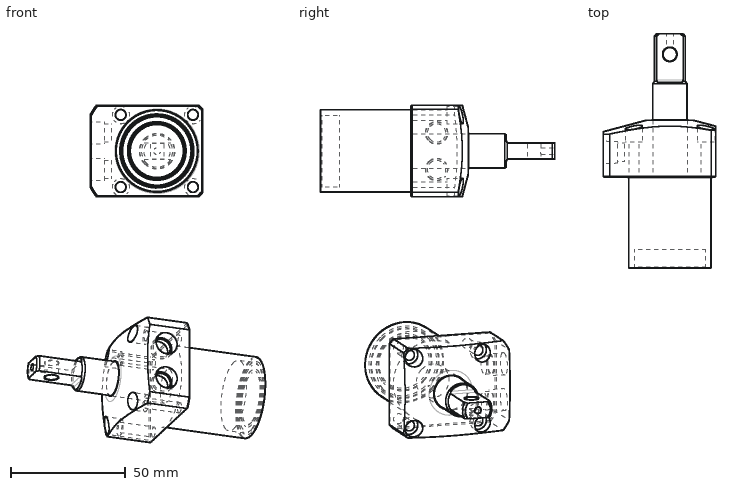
import cadquery as cq
import math


TOTAL_LENGTH = 102.0
FLANGE_REAR = 39.5
FLANGE_FRONT = 64.5
ROD_SHOULDER_START = 80.2
ROD_SHOULDER_END = 81.3

FLANGE_HALF_WIDTH = 20.0
FLANGE_LEFT_REACH = 29.0
LEFT_CORNER_RADIUS = 32.9
RIGHT_CORNER_RADIUS = 26.9
FLANGE_EDGE_CHAMFER = 0.5
CROWN_RADIUS = 10.0
CROWN_ANGLE = 14.9
COLLAR_RADIUS = 7.8
COLLAR_HEIGHT = 0.1
COLLAR_FRONT = FLANGE_FRONT + COLLAR_HEIGHT

BARREL_RADIUS = 18.0
BARREL_EDGE_CHAMFER = 0.3
BARREL_ROOT_FILLET = 0.4

MOUNT_HOLE_DIAMETER = 4.5
MOUNT_HOLE_OFFSET = 15.7
COUNTERBORE_DIAMETER = 7.5
COUNTERBORE_FLOOR = 55.1

PORT_MOUTH_DIAMETER = 9.8
PORT_FLOOR_DIAMETER = 9.4
PORT_THREAD_DEPTH = 6.0
PORT_DRILL_DIAMETER = 8.0
PORT_DRILL_DEPTH = 9.2
PORT_OFFSET = 8.0
PORT_POSITION = 50.5

CAP_RADIUS = 15.5
CAP_THICKNESS = 8.2
V_GROOVE_DEPTH = 0.6
FACE_GROOVE_RADIUS = 12.1

ROD_DIAMETER = 15.0
ROD_RADIUS = ROD_DIAMETER / 2
ROD_BOTTOM = FLANGE_REAR
TIP_RADIUS = 6.7
TIP_CHAMFER = 1.0
TANG_THICKNESS = 7.0
TANG_START = 81.0
TANG_FILLET = 1.0
CROSS_HOLE_DIAMETER = 5.9
CROSS_HOLE_CHAMFER = 0.2
CROSS_HOLE_FROM_TIP = 9.0
END_HOLE_DIAMETER = 3.0


def turned(points):
    """Revolve a closed (radius, y) outline around the cylinder axis."""
    return cq.Workplane("XY").polyline(points).close().revolve(360, (0, 0, 0), (0, 1, 0))


def cylinder_along_axis(radius, start, end, x=0, z=0):
    plane = cq.Workplane("XZ", origin=(x, start, z))
    return plane.circle(radius).extrude(start - end)


def v_groove(radius):
    """Ring with a V section, cut into the rear end at Y = 0."""
    return turned([
        (radius - V_GROOVE_DEPTH, 0),
        (radius, V_GROOVE_DEPTH),
        (radius + V_GROOVE_DEPTH, 0),
    ])


def make_flange():
    left = -FLANGE_LEFT_REACH
    right = FLANGE_HALF_WIDTH
    top = FLANGE_HALF_WIDTH

    left_arc_x = -math.sqrt(LEFT_CORNER_RADIUS**2 - top**2)
    left_arc_z = math.sqrt(LEFT_CORNER_RADIUS**2 - left**2)
    right_arc_x = math.sqrt(RIGHT_CORNER_RADIUS**2 - top**2)
    right_arc_z = math.sqrt(RIGHT_CORNER_RADIUS**2 - right**2)

    def arc_middle(radius, x, z):
        """Point of an axis-centred arc in the direction of (x, z)."""
        reach = math.hypot(x, z)
        return (radius * x / reach, radius * z / reach)

    left_middle = arc_middle(LEFT_CORNER_RADIUS, left + left_arc_x, top + left_arc_z)
    right_middle = arc_middle(RIGHT_CORNER_RADIUS, right + right_arc_x, top + right_arc_z)

    block = (
        cq.Workplane("XZ", origin=(0, FLANGE_REAR, 0))
        .moveTo(left_arc_x, top)
        .lineTo(right_arc_x, top)
        .threePointArc(right_middle, (right, right_arc_z))
        .lineTo(right, -right_arc_z)
        .threePointArc((right_middle[0], -right_middle[1]), (right_arc_x, -top))
        .lineTo(left_arc_x, -top)
        .threePointArc((left_middle[0], -left_middle[1]), (left, -left_arc_z))
        .lineTo(left, left_arc_z)
        .threePointArc(left_middle, (left_arc_x, top))
        .close()
        .extrude(FLANGE_REAR - FLANGE_FRONT)
        .faces("<Y")
        .chamfer(FLANGE_EDGE_CHAMFER)
    )

    envelope_radius = FLANGE_LEFT_REACH + FLANGE_HALF_WIDTH
    cone_drop = (envelope_radius - CROWN_RADIUS) * math.tan(math.radians(CROWN_ANGLE))
    crown = turned([
        (0, FLANGE_REAR),
        (envelope_radius, FLANGE_REAR),
        (envelope_radius, FLANGE_FRONT - cone_drop),
        (CROWN_RADIUS, FLANGE_FRONT),
        (0, FLANGE_FRONT),
    ])
    return block.intersect(crown)


def make_barrel():
    """Barrel with a chamfered rear edge and a fillet against the flange."""
    fillet_start = FLANGE_REAR - BARREL_ROOT_FILLET
    fillet_rise = BARREL_ROOT_FILLET * math.sqrt(0.5)
    fillet_middle = (
        BARREL_RADIUS + BARREL_ROOT_FILLET - fillet_rise,
        fillet_start + fillet_rise,
    )
    return (
        cq.Workplane("XY")
        .lineTo(BARREL_RADIUS - BARREL_EDGE_CHAMFER, 0)
        .lineTo(BARREL_RADIUS, BARREL_EDGE_CHAMFER)
        .lineTo(BARREL_RADIUS, fillet_start)
        .threePointArc(fillet_middle, (BARREL_RADIUS + BARREL_ROOT_FILLET, FLANGE_REAR))
        .lineTo(0, FLANGE_REAR)
        .close()
        .revolve(360, (0, 0, 0), (0, 1, 0))
    )


def mounting_hole(x, z):
    bore = cylinder_along_axis(MOUNT_HOLE_DIAMETER / 2, FLANGE_REAR, FLANGE_FRONT, x, z)
    counterbore = cylinder_along_axis(
        COUNTERBORE_DIAMETER / 2, COUNTERBORE_FLOOR, FLANGE_FRONT, x, z
    )
    return bore.union(counterbore)


def port(z):
    """Blind port: a tapered thread bore followed by a narrower drilling."""
    outline = [
        (0, 0),
        (0, PORT_MOUTH_DIAMETER / 2),
        (PORT_THREAD_DEPTH, PORT_FLOOR_DIAMETER / 2),
        (PORT_THREAD_DEPTH, PORT_DRILL_DIAMETER / 2),
        (PORT_DRILL_DEPTH, PORT_DRILL_DIAMETER / 2),
        (PORT_DRILL_DEPTH, 0),
    ]
    shape = cq.Workplane("XY").polyline(outline).close().revolve(360, (0, 0, 0), (1, 0, 0))
    return shape.translate((-FLANGE_LEFT_REACH, PORT_POSITION, z))


def make_housing():
    body = make_flange().union(make_barrel())
    collar = cylinder_along_axis(COLLAR_RADIUS, FLANGE_REAR, COLLAR_FRONT)
    body = body.union(collar)
    for x in (-MOUNT_HOLE_OFFSET, MOUNT_HOLE_OFFSET):
        for z in (-MOUNT_HOLE_OFFSET, MOUNT_HOLE_OFFSET):
            body = body.cut(mounting_hole(x, z))
    for z in (-PORT_OFFSET, PORT_OFFSET):
        body = body.cut(port(z))
    rod_bore = cylinder_along_axis(ROD_RADIUS, ROD_BOTTOM, COLLAR_FRONT)
    cap_recess = cylinder_along_axis(CAP_RADIUS, 0, CAP_THICKNESS)
    return body.cut(rod_bore).cut(cap_recess).cut(v_groove(CAP_RADIUS))


def make_end_cap():
    disc = cylinder_along_axis(CAP_RADIUS, 0, CAP_THICKNESS)
    return disc.cut(v_groove(CAP_RADIUS)).cut(v_groove(FACE_GROOVE_RADIUS))


def cross_hole():
    """Hole through the tang, chamfered at both mouths."""
    radius = CROSS_HOLE_DIAMETER / 2
    mouth_radius = radius + CROSS_HOLE_CHAMFER
    half_tang = TANG_THICKNESS / 2
    chamfer_start = half_tang - CROSS_HOLE_CHAMFER
    outline = [
        (0, -half_tang),
        (mouth_radius, -half_tang),
        (radius, -chamfer_start),
        (radius, chamfer_start),
        (mouth_radius, half_tang),
        (0, half_tang),
    ]
    shape = cq.Workplane("XZ").polyline(outline).close().revolve(360, (0, 0, 0), (0, 1, 0))
    return shape.translate((0, TOTAL_LENGTH - CROSS_HOLE_FROM_TIP, 0))


def make_rod():
    shaft = turned([
        (0, ROD_BOTTOM),
        (ROD_RADIUS, ROD_BOTTOM),
        (ROD_RADIUS, ROD_SHOULDER_START),
        (TIP_RADIUS, ROD_SHOULDER_END),
        (TIP_RADIUS, TOTAL_LENGTH - TIP_CHAMFER),
        (TIP_RADIUS - TIP_CHAMFER, TOTAL_LENGTH),
        (0, TOTAL_LENGTH),
    ])

    flat_length = TOTAL_LENGTH - TANG_START
    flat_cut = (
        cq.Workplane("XY")
        .box(2 * ROD_RADIUS, flat_length, ROD_RADIUS, centered=(True, False, False))
        .edges("<Y and <Z")
        .fillet(TANG_FILLET)
        .translate((0, TANG_START, TANG_THICKNESS / 2))
    )
    tang = shaft.cut(flat_cut).cut(flat_cut.mirror("XY"))
    end_hole = cylinder_along_axis(
        END_HOLE_DIAMETER / 2, TOTAL_LENGTH - CROSS_HOLE_FROM_TIP, TOTAL_LENGTH
    )
    return tang.cut(cross_hole()).cut(end_hole)


housing = make_housing()
end_cap = make_end_cap()
rod = make_rod()

result = cq.Compound.makeCompound([housing.val(), end_cap.val(), rod.val()])